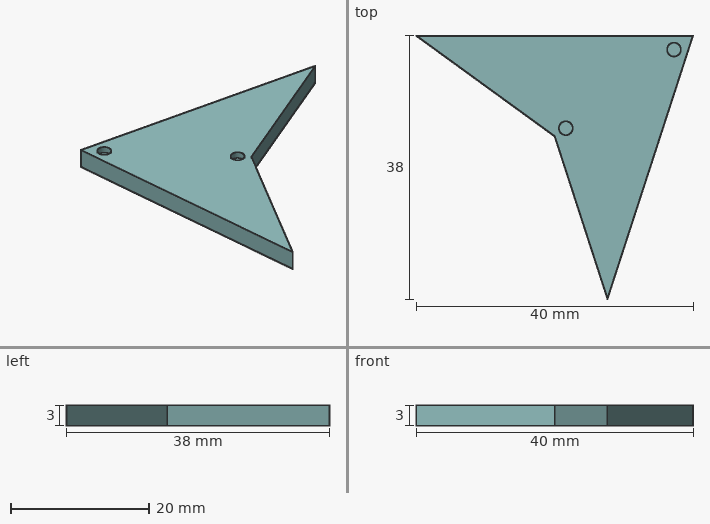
import cadquery as cq
import math

arm_length = 40.0
thickness = 3.0
corner_angle = math.radians(72)
half_angle = corner_angle / 2

hole_diameter = 2.0
hole_depth = 1.0
corner_hole_inset = 2.0
notch_hole_offset = 2.0


def point_on_symmetry_line(distance):
    """Point on the symmetry line at a distance from the sharp corner."""
    return (-distance * math.cos(half_angle), -distance * math.sin(half_angle))


corner = (0, 0)
left_tip = (-arm_length, 0)
lower_tip = (-arm_length * math.cos(corner_angle), -arm_length * math.sin(corner_angle))

notch_distance = arm_length / 2 / math.cos(half_angle)
notch = point_on_symmetry_line(notch_distance)

hole_centres = [
    point_on_symmetry_line(corner_hole_inset / math.sin(half_angle)),
    point_on_symmetry_line(notch_distance - notch_hole_offset),
]


def make_plate():
    outline = cq.Workplane("XY").polyline([corner, left_tip, notch, lower_tip]).close()
    return outline.extrude(thickness)


def make_hole_cutters():
    hole_floor = cq.Workplane("XY").workplane(offset=thickness - hole_depth)
    return hole_floor.pushPoints(hole_centres).circle(hole_diameter / 2).extrude(hole_depth)


result = make_plate().cut(make_hole_cutters())